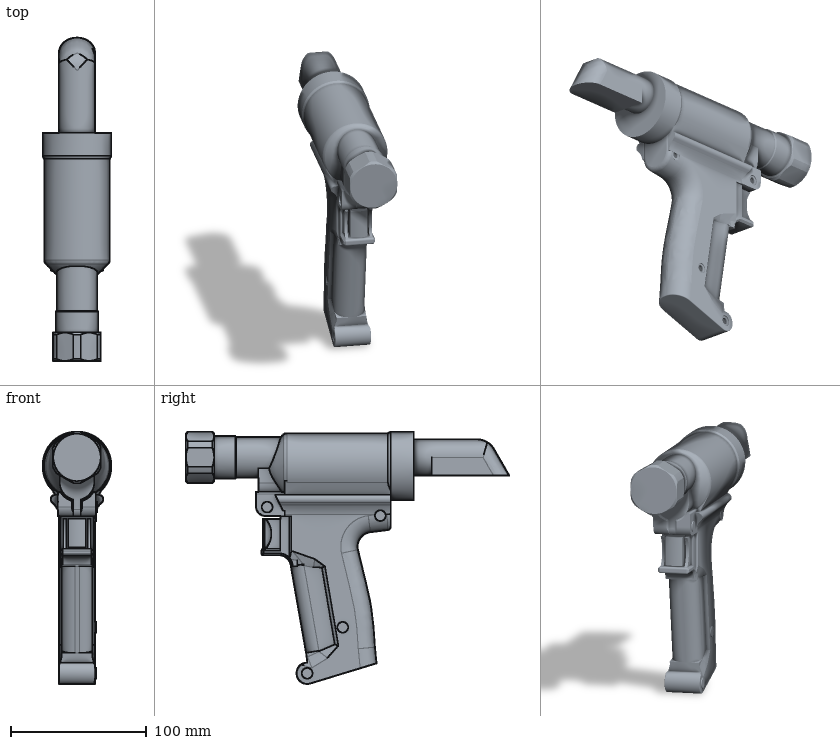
import cadquery as cq
import math


BARREL_D = 48.6
COLLAR_D = 50.8
COLLAR_FRONT_Y = 151.3
COLLAR_REAR_Y = 168.3
COLLAR_BEVEL_LENGTH = 2.2
CONE_START_Y = 73.0
CONE_END_D = 20.0
CONE_BLEND = 4.0
UPPER_AXIS_Z = 6.35
NOSE_D = 30.15
SLEEVE_D = 31.64
SLEEVE_REAR_Y = 37.2
SLEEVE_BEVEL = 0.7
HEX_LENGTH = 21.2
HEX_FLATS = 35.4
HEX_CORNER_D = 38.1
HEX_BEVEL = 1.6

TUBE_D = 26.92
TUBE_R = TUBE_D / 2
TUBE_END_Y = 238.62
TUBE_SQUARE_START_Y = 181.3
TUBE_END_ANGLE = 60.0
TUBE_END_DEPTH = 11.7
TUBE_TOP_BLEND = 15.0

TAPER_TOP_Z = -10.7
SADDLE_Z = -21.3
SADDLE_HALF_WIDTH = 16.2
BOSS_HALF_WIDTH = 12.7
BOSS_FRONT_Y = 53.6
BOSS_REAR_Y = CONE_START_Y
BOSS_CURVE_Z = -12.3
WEB_HALF_WIDTH = 2.7
WEB_FOOT_Z = -37.0

HANDLE_HALF_WIDTH = 13.4
HANDLE_REAR_Y = COLLAR_FRONT_Y
BACK_ROUND_R = 12.59
BLOCK_REAR_FOOT_Z = -47.0
WEB_START = (136.0, -48.9)
WEB_END = (127.0, -61.5)
PALM_END = (139.6, -133.3)
BLOCK_FRONT_Y = 76.4
BLOCK_FOOT_Z = -65.9
LUG_Y = 89.6
LUG_R = 15.88 / 2
LUG_Z = COLLAR_D / 2 - 186.15 + LUG_R
BUTT_ANGLE = 17.0
BUTT_EDGE_R = 0.5
BUTT_REAR_Y = 140.8
REAR_CORNER_R = 3.0
GRIP_TOP_FRONT = (77.5, -74.0)
GRIP_LOW_FRONT = (88.7, -137.8)
RECESS_HALF_WIDTH = 11.2
GRIP_FRONT_R = 9.53

RAIL_HALF_WIDTH = 19.4
RAIL_BEAD_R = 3.2
RAIL_NECK_HALF_WIDTH = 16.6
RAIL_NECK_Z = -28.6
RAIL_COVE_MID = (14.4, -32.0)
RAIL_FOOT_Z = -35.5
RAIL_OVERLAP = 1.2
RAIL_FRONT_TOP_Y = 66.0
RAIL_FRONT_FOOT_Y = 73.0

PLATE_HALF_WIDTH = 14.0
PLATE_FRONT_Y = 51.8
PLATE_TOP_Z = -19.1
PLATE_FOOT_Z = -36.9
PLATE_CORNER_R = 7.0
PLATE_EDGE_R = 1.2
SLOT_BEVEL = 1.2

HOUSING_HALF_WIDTH = 11.9
HOUSING_FRONT_Y = 69.8
HOUSING_FILLET_R = 8.5
HOUSING_OVERLAP = 6.0
GUARD_FRONT_Y = 55.9
GUARD_TOP_Z = -61.0
GUARD_END_R = 1.5
CHEEK_INNER = 8.0
CHEEK_OUTER = 10.2
CHEEK_TOP_Z = -38.9
CHEEK_FRONT_Y = 58.8
CHEEK_SCOOP_Y = 63.2
TRIGGER_HALF_WIDTH = 12.59 / 2
TRIGGER_FRONT_Y = 56.9
TRIGGER_EDGE_Y = 58.3
TRIGGER_REAR_Y = HOUSING_FRONT_Y
TRIGGER_TOP_Z = -38.9
TRIGGER_FOOT_Z = -60.0

SCREW_HEAD_D = 7.92
SCREW_HEAD_HEIGHT = 0.76
SCREW_RECESS_DEPTH = 0.8
SOCKET_D = 4.83
SOCKET_DEPTH = 2.5
GRIP_SCREWS = [(115.8, -118.9), (LUG_Y, LUG_Z), (143.5, -36.6)]
PLATE_SCREW = (60.1, -30.3)


def side_prism(outline, half_width):
    """Extrude a closed Y-Z outline symmetrically to both sides of X = 0."""
    return outline.extrude(half_width, both=True)


def side_box(half_width, y_range, z_range):
    """Box centred on X = 0 between two Y values and two Z values."""
    return (
        cq.Workplane("XY")
        .box(2 * half_width, y_range[1] - y_range[0], z_range[1] - z_range[0], centered=(True, False, False))
        .translate((0, y_range[0], z_range[0]))
    )


def rod(diameter, y_start, y_end, axis_z):
    """Cylinder along Y."""
    plane = cq.Plane(origin=(0, y_start, axis_z), xDir=(1, 0, 0), normal=(0, 1, 0))
    return cq.Workplane(plane).circle(diameter / 2).extrude(y_end - y_start)


def cross_section(y_start):
    """X-Z sketch plane at a given Y, with its extrusion running toward +Y."""
    return cq.Workplane(cq.Plane(origin=(0, y_start, 0), xDir=(-1, 0, 0), normal=(0, 1, 0)))


def make_barrel():
    """Collar, barrel and 45 degree cone as one turned shape."""
    barrel_r = BARREL_D / 2
    cone_end_r = CONE_END_D / 2
    profile = (
        cq.Workplane("XY")
        .moveTo(0, COLLAR_REAR_Y)
        .lineTo(COLLAR_D / 2, COLLAR_REAR_Y)
        .lineTo(COLLAR_D / 2, COLLAR_FRONT_Y)
        .lineTo(barrel_r, COLLAR_FRONT_Y - COLLAR_BEVEL_LENGTH)
        .lineTo(barrel_r, CONE_START_Y)
        .lineTo(cone_end_r, CONE_START_Y - (barrel_r - cone_end_r))
        .lineTo(0, CONE_START_Y - (barrel_r - cone_end_r))
        .close()
    )
    turned = profile.revolve(360, (0, 0, 0), (0, 1, 0))
    shoulder = cq.selectors.BoxSelector(
        (-barrel_r - 1, CONE_START_Y - 1, -barrel_r - 1),
        (barrel_r + 1, CONE_START_Y + 1, barrel_r + 1),
        boundingbox=True,
    )
    return turned.edges(shoulder).edges("%CIRCLE").fillet(CONE_BLEND)


def make_taper():
    """Flat cheeks that leave the barrel tangentially and close in on the handle."""
    top_half_width = math.sqrt((BARREL_D / 2) ** 2 - TAPER_TOP_Z ** 2)
    section = cross_section(CONE_START_Y).polyline([
        (-top_half_width, TAPER_TOP_Z),
        (top_half_width, TAPER_TOP_Z),
        (SADDLE_HALF_WIDTH, SADDLE_Z),
        (-SADDLE_HALF_WIDTH, SADDLE_Z),
    ]).close()
    return section.extrude(COLLAR_FRONT_Y - CONE_START_Y)


def boss_section(y_start):
    """Boss outline: straight sides, a round underside and a narrow web below."""
    foot_z = BOSS_CURVE_Z - math.sqrt(BOSS_HALF_WIDTH ** 2 - WEB_HALF_WIDTH ** 2)
    return (
        cross_section(y_start)
        .moveTo(-BOSS_HALF_WIDTH, UPPER_AXIS_Z)
        .lineTo(BOSS_HALF_WIDTH, UPPER_AXIS_Z)
        .lineTo(BOSS_HALF_WIDTH, BOSS_CURVE_Z)
        .radiusArc((WEB_HALF_WIDTH, foot_z), BOSS_HALF_WIDTH)
        .lineTo(WEB_HALF_WIDTH, WEB_FOOT_Z)
        .lineTo(-WEB_HALF_WIDTH, WEB_FOOT_Z)
        .lineTo(-WEB_HALF_WIDTH, foot_z)
        .radiusArc((-BOSS_HALF_WIDTH, BOSS_CURVE_Z), BOSS_HALF_WIDTH)
        .close()
    )


def make_boss():
    boss = boss_section(BOSS_FRONT_Y).extrude(BOSS_REAR_Y - BOSS_FRONT_Y)
    return boss.edges("|X and <Y and <Z").fillet(PLATE_CORNER_R - (BOSS_FRONT_Y - PLATE_FRONT_Y))


def make_nose():
    """Nose tube, stepped sleeve and hex end with turned-down corners."""
    tube = rod(NOSE_D, SLEEVE_REAR_Y, COLLAR_FRONT_Y, UPPER_AXIS_Z)
    sleeve = rod(SLEEVE_D, HEX_LENGTH, SLEEVE_REAR_Y, UPPER_AXIS_Z).faces(">Y").chamfer(SLEEVE_BEVEL)
    plane = cq.Plane(origin=(0, 0, UPPER_AXIS_Z), xDir=(0, 0, 1), normal=(0, 1, 0))
    hexagon = cq.Workplane(plane).polygon(6, HEX_FLATS / math.cos(math.pi / 6)).extrude(HEX_LENGTH)
    blank = rod(HEX_CORNER_D, 0, HEX_LENGTH, UPPER_AXIS_Z).edges().chamfer(HEX_BEVEL)
    return tube.union(sleeve).union(hexagon.intersect(blank))


def make_exhaust_tube():
    """Tube whose lower half turns square and whose rounded tip leans back."""
    foot_z = UPPER_AXIS_Z - TUBE_R
    round_part = rod(TUBE_D, COLLAR_REAR_Y, TUBE_SQUARE_START_Y, UPPER_AXIS_Z)
    arch = (
        cross_section(TUBE_SQUARE_START_Y)
        .moveTo(-TUBE_R, foot_z)
        .lineTo(-TUBE_R, UPPER_AXIS_Z)
        .threePointArc((0, UPPER_AXIS_Z + TUBE_R), (TUBE_R, UPPER_AXIS_Z))
        .lineTo(TUBE_R, foot_z)
        .close()
        .extrude(TUBE_END_Y - TUBE_SQUARE_START_Y)
    )

    lean = 1 / math.tan(math.radians(TUBE_END_ANGLE))
    lean_shift = TUBE_D * lean
    side_outline = (
        cq.Workplane("YZ")
        .polyline([
            (COLLAR_REAR_Y, foot_z),
            (TUBE_END_Y, foot_z),
            (TUBE_END_Y - lean_shift, foot_z + TUBE_D),
            (COLLAR_REAR_Y, foot_z + TUBE_D),
        ])
        .close()
    )
    side_limit = side_prism(side_outline, TUBE_D)
    side_limit = side_limit.edges("|X and >Z").edges(">Y").fillet(TUBE_TOP_BLEND)

    def tip_outline(plane_work):
        """Half-ellipse tip with straight stretches running back past the arch."""
        margin = 1.0
        wide = TUBE_R + margin
        return (
            plane_work.moveTo(-TUBE_R, 0)
            .lineTo(-wide, 0)
            .lineTo(-wide, -TUBE_END_Y / 2)
            .lineTo(wide, -TUBE_END_Y / 2)
            .lineTo(wide, 0)
            .lineTo(TUBE_R, 0)
            .ellipseArc(TUBE_R, TUBE_END_DEPTH, 0, 180, startAtCurrent=True)
            .close()
        )

    flank_y = TUBE_END_Y - TUBE_END_DEPTH
    lower = tip_outline(cq.Workplane("XY", origin=(0, flank_y, foot_z)))
    leaning_tip = tip_outline(lower.workplane(offset=TUBE_D).center(0, -lean_shift)).loft(ruled=True)
    return round_part.union(arch.intersect(side_limit).intersect(leaning_tip))


def make_head():
    head = make_barrel().union(make_taper())
    head = head.union(make_boss())
    return head.union(make_nose()).union(make_exhaust_tube())


def make_grip():
    """Full-width side shape of the handle, before its edges are rounded."""
    butt = math.radians(BUTT_ANGLE)
    butt_tangent = (LUG_Y + LUG_R * math.sin(butt), LUG_Z - LUG_R * math.cos(butt))
    butt_rear_z = butt_tangent[1] + (BUTT_REAR_Y - butt_tangent[0]) * math.tan(butt)
    butt_direction = (BUTT_REAR_Y - PALM_END[0], butt_rear_z - PALM_END[1])
    start_angle = math.atan2(WEB_START[1] - BLOCK_REAR_FOOT_Z, WEB_START[0] - HANDLE_REAR_Y)
    chord_angle = math.atan2(WEB_END[1] - WEB_START[1], WEB_END[0] - WEB_START[0])
    end_angle = 2 * chord_angle - start_angle
    web_end_direction = (math.cos(end_angle), math.sin(end_angle))
    outline = (
        cq.Workplane("YZ")
        .moveTo(HANDLE_REAR_Y, SADDLE_Z)
        .lineTo(HANDLE_REAR_Y, BLOCK_REAR_FOOT_Z)
        .lineTo(*WEB_START)
        .tangentArcPoint(WEB_END, relative=False)
        .spline(
            [(135.9, -99.1), (138.6, -118.9), PALM_END],
            tangents=[web_end_direction, butt_direction],
            includeCurrent=True,
        )
        .lineTo(BUTT_REAR_Y, butt_rear_z)
        .lineTo(*butt_tangent)
        .threePointArc((LUG_Y - LUG_R, LUG_Z), (LUG_Y, LUG_Z + LUG_R))
        .lineTo(*GRIP_LOW_FRONT)
        .lineTo(*GRIP_TOP_FRONT)
        .lineTo(BLOCK_FRONT_Y, BLOCK_FOOT_Z)
        .lineTo(BLOCK_FRONT_Y, PLATE_FOOT_Z)
        .lineTo(BOSS_REAR_Y, PLATE_FOOT_Z)
        .lineTo(BOSS_REAR_Y, SADDLE_Z)
        .close()
    )
    grip = side_prism(outline, HANDLE_HALF_WIDTH)
    front_corners = cq.selectors.BoxSelector(
        (-HANDLE_HALF_WIDTH - 1, BLOCK_FRONT_Y - 1, BLOCK_FOOT_Z - 1),
        (HANDLE_HALF_WIDTH + 1, BLOCK_FRONT_Y + 1, PLATE_FOOT_Z + 1),
        boundingbox=True,
    )
    return grip.edges("|Z").edges(front_corners).chamfer(HANDLE_HALF_WIDTH - HOUSING_HALF_WIDTH)


def round_palm(grip):
    """Round the palm side of the grip almost to a half circle."""
    far = 200.0
    palm = cq.selectors.BoxSelector((-far, 123.0, -143.0), (far, 150.0, -45.0))
    return grip.edges(palm).edges("not |X").fillet(BACK_ROUND_R)


def round_rear_corner(grip):
    """Soften the block's lower rear corner."""
    corner = cq.selectors.BoxSelector(
        (-HANDLE_HALF_WIDTH, HANDLE_REAR_Y - 0.1, BLOCK_REAR_FOOT_Z - 0.1),
        (HANDLE_HALF_WIDTH, HANDLE_REAR_Y + 0.1, BLOCK_REAR_FOOT_Z + 0.1),
    )
    return grip.edges(corner).fillet(REAR_CORNER_R)


def round_butt(grip):
    """Soften the rim of the butt and of the lug at its front."""
    far = 200.0
    butt = cq.selectors.BoxSelector((-far, LUG_Y - LUG_R - 1, -far), (far, BUTT_REAR_Y + 1, LUG_Z + LUG_R - 2))
    return grip.edges(butt).edges("not |X").fillet(BUTT_EDGE_R)


RECESS_RIM = [
    (102.7, -74.0), (95.0, -68.5), (78.8, -62.8), (70.0, -62.8),
    (75.0, -142.0), (87.0, -147.0), (92.8, -148.6), (104.5, -141.4), (112.6, -132.4),
]
RECESS_FLOOR = [
    (100.4, -74.9), (94.0, -74.6), (87.4, -73.4), (70.0, -69.0),
    (75.0, -137.0), (85.0, -139.4), (89.7, -140.5), (98.2, -136.6), (109.9, -131.5),
]


def make_finger_recess(side):
    """Sloping-walled cutter for the flank on the given side (+1 or -1)."""
    depth = HANDLE_HALF_WIDTH - RECESS_HALF_WIDTH
    floor = cq.Workplane("YZ", origin=(side * RECESS_HALF_WIDTH, 0, 0)).polyline(RECESS_FLOOR).close()
    return floor.workplane(offset=side * depth).polyline(RECESS_RIM).close().loft(ruled=True)


def make_finger_rounding(side):
    """Cutter that rounds the finger edge of the grip between the recess ends."""
    edge_y = GRIP_TOP_FRONT[0] - GRIP_LOW_FRONT[0]
    edge_z = GRIP_TOP_FRONT[1] - GRIP_LOW_FRONT[1]
    plane = cq.Plane(origin=(0, *GRIP_LOW_FRONT), xDir=(side, 0, 0), normal=(0, edge_y, edge_z))
    back = side * GRIP_FRONT_R
    return (
        cq.Workplane(plane)
        .moveTo(RECESS_HALF_WIDTH, back)
        .radiusArc((RECESS_HALF_WIDTH - GRIP_FRONT_R, 0), side * GRIP_FRONT_R)
        .lineTo(RECESS_HALF_WIDTH, 0)
        .close()
        .extrude(math.hypot(edge_y, edge_z))
    )


def make_rail(side):
    """Beaded rail with a cove below it, cut off at a slant in front."""
    inner = HANDLE_HALF_WIDTH - RAIL_OVERLAP
    bead_x = RAIL_HALF_WIDTH - RAIL_BEAD_R
    bead_z = SADDLE_Z - RAIL_BEAD_R
    diagonal = RAIL_BEAD_R * math.sqrt(0.5)
    bar = (
        cq.Workplane(cq.Plane(origin=(0, RAIL_FRONT_TOP_Y, 0), xDir=(side, 0, 0), normal=(0, -side, 0)))
        .moveTo(inner, SADDLE_Z)
        .lineTo(bead_x, SADDLE_Z)
        .threePointArc((RAIL_HALF_WIDTH, bead_z), (bead_x + diagonal, bead_z - diagonal))
        .lineTo(RAIL_NECK_HALF_WIDTH, RAIL_NECK_Z)
        .threePointArc(RAIL_COVE_MID, (HANDLE_HALF_WIDTH, RAIL_FOOT_Z))
        .lineTo(inner, RAIL_FOOT_Z)
        .close()
        .extrude(-side * (HANDLE_REAR_Y - RAIL_FRONT_TOP_Y))
    )
    slant = side_prism(
        cq.Workplane("YZ").polyline([
            (RAIL_FRONT_TOP_Y, SADDLE_Z),
            (HANDLE_REAR_Y, SADDLE_Z),
            (HANDLE_REAR_Y, RAIL_FOOT_Z),
            (RAIL_FRONT_FOOT_Y, RAIL_FOOT_Z),
        ]).close(),
        RAIL_HALF_WIDTH,
    )
    return bar.intersect(slant)


def make_plate():
    """Front plate that cradles the head's boss."""
    plate = side_box(PLATE_HALF_WIDTH, (PLATE_FRONT_Y, BOSS_REAR_Y), (PLATE_FOOT_Z, PLATE_TOP_Z))
    plate = plate.edges("|X and <Y and <Z").fillet(PLATE_CORNER_R)
    plate = plate.edges("|Y and >Z").fillet(PLATE_EDGE_R)
    slot = boss_section(PLATE_FRONT_Y).extrude(BOSS_REAR_Y - PLATE_FRONT_Y)
    mouth = boss_section(PLATE_FRONT_Y).offset2D(SLOT_BEVEL, "intersection").extrude(SLOT_BEVEL, taper=45)
    return plate.cut(slot).cut(mouth)


def make_trigger_housing():
    """Narrower block in front of the grip with the trigger guard below."""
    outline = (
        cq.Workplane("YZ")
        .moveTo(BLOCK_FRONT_Y + HOUSING_OVERLAP, PLATE_FOOT_Z)
        .lineTo(HOUSING_FRONT_Y, PLATE_FOOT_Z)
        .lineTo(HOUSING_FRONT_Y, GUARD_TOP_Z)
        .lineTo(GUARD_FRONT_Y, GUARD_TOP_Z)
        .lineTo(GUARD_FRONT_Y, BLOCK_FOOT_Z)
        .lineTo(HOUSING_FRONT_Y, BLOCK_FOOT_Z)
        .radiusArc(GRIP_TOP_FRONT, HOUSING_FILLET_R)
        .lineTo(BLOCK_FRONT_Y + HOUSING_OVERLAP, GRIP_TOP_FRONT[1])
        .close()
    )
    housing = side_prism(outline, HOUSING_HALF_WIDTH)
    housing = housing.faces("<Y").edges("|X").fillet(GUARD_END_R)
    guard_corners = cq.selectors.BoxSelector(
        (-HANDLE_HALF_WIDTH, GUARD_FRONT_Y - 1, BLOCK_FOOT_Z),
        (HANDLE_HALF_WIDTH, GUARD_FRONT_Y + 1, GUARD_TOP_Z),
        boundingbox=True,
    )
    return housing.edges("|Z").edges(guard_corners).chamfer(GUARD_END_R)


def make_cheeks():
    """Thin walls beside the trigger with a scooped front edge."""
    outline = (
        cq.Workplane("YZ")
        .moveTo(HOUSING_FRONT_Y, GUARD_TOP_Z)
        .lineTo(CHEEK_FRONT_Y, GUARD_TOP_Z)
        .threePointArc((CHEEK_SCOOP_Y, (GUARD_TOP_Z + CHEEK_TOP_Z) / 2), (CHEEK_FRONT_Y, CHEEK_TOP_Z))
        .lineTo(HOUSING_FRONT_Y, CHEEK_TOP_Z)
        .close()
    )
    gap = side_box(CHEEK_INNER, (GUARD_FRONT_Y, HOUSING_FRONT_Y), (GUARD_TOP_Z, CHEEK_TOP_Z))
    return side_prism(outline, CHEEK_OUTER).cut(gap)


def side_disc(diameter, x_start, x_end, centre):
    """Cylinder along X about a (Y, Z) centre."""
    start = cq.Workplane("YZ", origin=(x_start, *centre))
    return start.circle(diameter / 2).extrude(x_end - x_start)


def add_screw(handle, centre, half_width):
    """Head standing proud on +X, with a sunk ring and socket on -X."""
    head = side_disc(SCREW_HEAD_D, -half_width, half_width + SCREW_HEAD_HEIGHT, centre)
    recess = side_disc(SCREW_HEAD_D, -half_width, SCREW_RECESS_DEPTH - half_width, centre)
    socket = side_disc(SOCKET_D, -half_width, SOCKET_DEPTH - half_width, centre)
    return handle.union(head).cut(recess).cut(socket)


def make_handle():
    handle = round_butt(round_rear_corner(round_palm(make_grip())))
    for side in (1, -1):
        handle = handle.cut(make_finger_recess(side)).cut(make_finger_rounding(side))
    for side in (1, -1):
        handle = handle.union(make_rail(side))
    handle = handle.union(make_trigger_housing()).union(make_cheeks()).union(make_plate())
    for centre in GRIP_SCREWS:
        handle = add_screw(handle, centre, HANDLE_HALF_WIDTH)
    return add_screw(handle, PLATE_SCREW, PLATE_HALF_WIDTH)


def make_trigger():
    """Block with a shallow convex face across X."""
    outline = (
        cq.Workplane("XY", origin=(0, 0, TRIGGER_FOOT_Z))
        .moveTo(-TRIGGER_HALF_WIDTH, TRIGGER_REAR_Y)
        .lineTo(-TRIGGER_HALF_WIDTH, TRIGGER_EDGE_Y)
        .threePointArc((0, TRIGGER_FRONT_Y), (TRIGGER_HALF_WIDTH, TRIGGER_EDGE_Y))
        .lineTo(TRIGGER_HALF_WIDTH, TRIGGER_REAR_Y)
        .close()
    )
    return outline.extrude(TRIGGER_TOP_Z - TRIGGER_FOOT_Z)


head = make_head()
handle = make_handle().cut(head)
trigger = make_trigger()
result = cq.Compound.makeCompound([head.val(), handle.val(), trigger.val()])